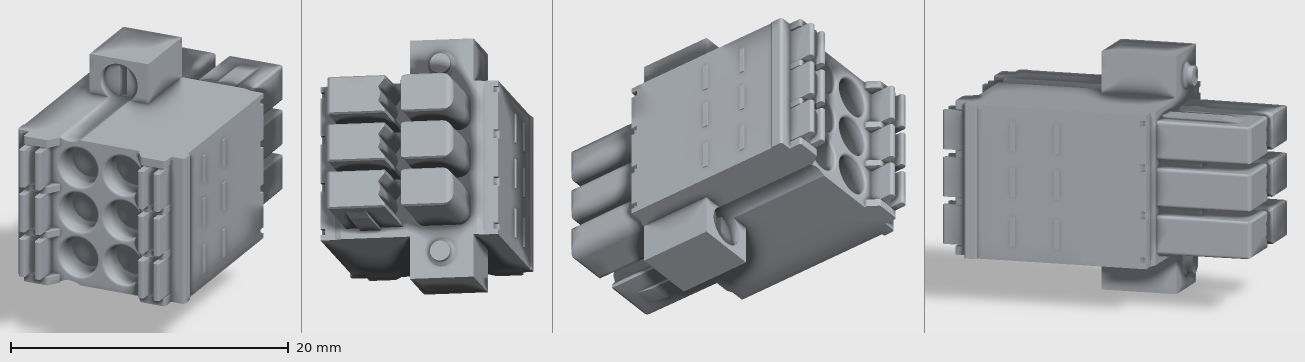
import cadquery as cq
import math


BODY_HALF_WIDTH = 6.5
BODY_HEIGHT = 11.3
BACK_FACE_Y = 13.93
SHOULDER_Y = 13.72
SHOULDER_OUTER_X = 5.45
SHOULDER_INNER_X = 4.95

FLANGE_LEFT_STEP = 0.1
FLANGE_RIGHT_STEP = 0.23
FLANGE_LENGTH = 0.96
FLANGE_ROUNDING = 0.23
FLANGE_STEP_BEVEL = 0.07

POLE_SPAN_Z = 6.95
POLE_PITCH_Z = POLE_SPAN_Z / 2
POLE_LEVELS = (-POLE_PITCH_Z, 0, POLE_PITCH_Z)
HALF_LEVELS = (-POLE_PITCH_Z / 2, POLE_PITCH_Z / 2)

HOLE_PITCH_X = 3.55
HOLE_MID_X = 0.02
HOLE_DIA = 3.0
HOLE_LIP_RADIUS = 0.2
HOLE_STRAIGHT_DEPTH = 1.65
HOLE_DEPTH = 2.07
HOLE_FLOOR_DIA = 2.9

RIDGE_LEVELS = (-3.5, 0.14, 3.49)
RIDGE_LENGTH = 2.13
RIDGE_WIDTH = 0.4
RIDGE_HEIGHT = FLANGE_LEFT_STEP
RIDGE_YS = (3.65, 6.98)

NOTCH_END_Y = 13.22
NOTCH_DEPTH = 0.35
NOTCH_END_BEVEL = 0.18
END_NOTCH_HEIGHT = 0.44
END_NOTCH_LEVEL = 5.03
MID_NOTCH_HEIGHT = 0.62

PLATE_OUTER_X = 5.65
PLATE_INNER_X = 3.17
PLATE_FRONT_INNER_X = 3.72
PLATE_LENGTH = 1.0
PLATE_STRAIGHT = 0.18
PLATE_ROUNDING = 0.18
END_PLATE_THICKNESS = 0.6
MID_PLATE_THICKNESS = 0.48

FORK_MID_X = 4.73
FORK_HEIGHT = 2.87
FORK_TIP_Y = -1.95
FORK_HALF_WIDTH = 0.87
FORK_HALF_GAP = 0.37
PRONG_TIP_ROUNDING = 0.2

LUG_MID_X = -2.4
LUG_WIDTH = 4.65
LUG_LENGTH = 5.67
OVERALL_HEIGHT = 17.5
LUG_OUTER_Z = OVERALL_HEIGHT / 2
SCREW_Z = 6.88
SCREW_CHANNEL_RADIUS = 1.5
SCREW_HEAD_RADIUS = 1.42
SCREW_HEAD_RECESS = 0.69
HEAD_GAP_DEPTH = 0.35
SCREW_SLOT_WIDTH = 0.62
SCREW_SLOT_DEPTH = 0.69
SCREW_TIP_RADIUS = 0.73
SCREW_TIP_LENGTH = 0.67
SCREW_CONE_RADIUS = 1.03
SCREW_CONE_LENGTH = 0.23

PIN_TIP_Y = 21.0
PIN_HALF_HEIGHT = 1.42
PIN_TAPER = 0.37
PIN_TIP_BEVEL = 0.2
PIN_TIP_BEVEL_HEIGHT = 0.11
PIN_LENGTH = PIN_TIP_Y - BACK_FACE_Y
PIN_TIP_HALF_HEIGHT = PIN_HALF_HEIGHT - PIN_LENGTH * math.tan(math.radians(PIN_TAPER))

ROUND_PIN_LEFT_X = -4.55
ROUND_PIN_RIGHT_X = -0.57
ROUND_PIN_LEFT_RADIUS = 0.9
ROUND_PIN_RIGHT_RADIUS = 0.6
ROUND_PIN_TIP_RADIUS = 0.6
ROUND_PIN_RIGHT_BEVEL = 0.18
ROUND_PIN_RIGHT_BEVEL_LENGTH = 0.69

KEYED_PIN_LEFT_X = 0.44
KEYED_PIN_RIGHT_X = 4.73
KEYED_PIN_RADIUS = 0.23
KEYED_PIN_TIP_RADIUS = 0.25
KEYED_PIN_TIP_BEVEL = 0.25
WAIST_EDGE_Z = 1.17
WAIST_Z = 0.5
WAIST_DEPTH = 0.5
WAIST_RIB_Z = 0.14
WAIST_RIB_DEPTH = 0.37

LATCH_MID_X = 2.78
LATCH_WIDTH = 1.47
LATCH_OUTER_Z = 5.1
LATCH_RAMP_START_Y = 18.43
LATCH_RAMP_END_Y = 19.87
WEB_END_Y = 16.95
WEB_ROUNDING = 0.23


def box(x0, x1, y0, y1, z0, z1):
    return cq.Workplane("XY").box(x1 - x0, y1 - y0, z1 - z0, centered=False).translate((x0, y0, z0))


def plate_from_plan(plan, thickness, z_mid=0):
    """Extrude a closed XY outline symmetrically about the level z_mid."""
    return plan.extrude(thickness / 2, both=True).translate((0, 0, z_mid))


def cylinder_along_y(radius, x, z, y0, y1):
    rod = cq.Workplane("XZ", origin=(x, y0, z)).circle(radius)
    return rod.extrude(y0 - y1)


def cone_along_y(radius0, radius1, x, z, y0, y1):
    return cq.Workplane(
        cq.Solid.makeCone(radius0, radius1, y1 - y0, pnt=cq.Vector(x, y0, z), dir=cq.Vector(0, 1, 0))
    )


def with_mirror(shape, plane):
    return shape.union(shape.mirror(plane))


def make_body():
    plan = (
        cq.Workplane("XY")
        .moveTo(-BODY_HALF_WIDTH, 0)
        .lineTo(-BODY_HALF_WIDTH, SHOULDER_Y)
        .lineTo(-SHOULDER_OUTER_X, SHOULDER_Y)
        .lineTo(-SHOULDER_INNER_X, BACK_FACE_Y)
        .lineTo(SHOULDER_INNER_X, BACK_FACE_Y)
        .lineTo(SHOULDER_OUTER_X, SHOULDER_Y)
        .lineTo(BODY_HALF_WIDTH, SHOULDER_Y)
        .lineTo(BODY_HALF_WIDTH, 0)
        .close()
    )
    flange_left = -BODY_HALF_WIDTH - FLANGE_LEFT_STEP
    flange_right = BODY_HALF_WIDTH + FLANGE_RIGHT_STEP
    half_height = BODY_HEIGHT / 2
    flange = (
        box(flange_left, flange_right, 0, FLANGE_LENGTH, -half_height, half_height)
        .edges("|Z and >Y")
        .chamfer(FLANGE_STEP_BEVEL)
    )
    body = plate_from_plan(plan, BODY_HEIGHT).union(flange)
    return body.edges("|Z and <Y").fillet(FLANGE_ROUNDING)


def add_side_ridges(part):
    reach = BODY_HALF_WIDTH + RIDGE_HEIGHT
    for y in RIDGE_YS:
        for z in RIDGE_LEVELS:
            part = part.union(
                cq.Workplane("XY").box(2 * reach, RIDGE_WIDTH, RIDGE_LENGTH).translate((0, y, z))
            )
    return part


def cut_rear_notches(part):
    notches = [(z, MID_NOTCH_HEIGHT) for z in HALF_LEVELS]
    notches += [(z, END_NOTCH_HEIGHT) for z in (-END_NOTCH_LEVEL, END_NOTCH_LEVEL)]
    for z, height in notches:
        notch = box(
            -BODY_HALF_WIDTH, NOTCH_DEPTH - BODY_HALF_WIDTH,
            NOTCH_END_Y, BACK_FACE_Y, z - height / 2, z + height / 2,
        )
        notch = notch.edges("|Z and <Y and >X").chamfer(NOTCH_END_BEVEL)
        part = part.cut(with_mirror(notch, "YZ"))
    return part


def wire_hole():
    """A blind hole with a rounded lip and a conical seat above its floor, on the Y axis."""
    radius = HOLE_DIA / 2
    arc_offset = HOLE_LIP_RADIUS * (1 - math.sqrt(0.5))
    profile = (
        cq.Workplane("XY")
        .lineTo(radius + HOLE_LIP_RADIUS, 0)
        .threePointArc((radius + arc_offset, arc_offset), (radius, HOLE_LIP_RADIUS))
        .lineTo(radius, HOLE_STRAIGHT_DEPTH)
        .lineTo(HOLE_FLOOR_DIA / 2, HOLE_DEPTH)
        .lineTo(0, HOLE_DEPTH)
        .close()
    )
    return profile.revolve(360, (0, 0, 0), (0, 1, 0))


def cut_wire_holes(part):
    for x in (HOLE_MID_X - HOLE_PITCH_X / 2, HOLE_MID_X + HOLE_PITCH_X / 2):
        for z in POLE_LEVELS:
            part = part.cut(wire_hole().translate((x, 0, z)))
    return part


def guard_plate(thickness, z_mid):
    """One right-hand guard plate with a slanted inner side."""
    plan = (
        cq.Workplane("XY")
        .moveTo(PLATE_INNER_X, 0)
        .lineTo(PLATE_INNER_X, -PLATE_STRAIGHT)
        .lineTo(PLATE_FRONT_INNER_X, -PLATE_LENGTH)
        .lineTo(PLATE_OUTER_X, -PLATE_LENGTH)
        .lineTo(PLATE_OUTER_X, 0)
        .close()
    )
    return plate_from_plan(plan, thickness, z_mid).edges("|Z and <Y").fillet(PLATE_ROUNDING)


def add_guard_plates(part):
    end_z = (BODY_HEIGHT - END_PLATE_THICKNESS) / 2
    plates = [(z, END_PLATE_THICKNESS) for z in (-end_z, end_z)]
    plates += [(z, MID_PLATE_THICKNESS) for z in HALF_LEVELS]
    for z, thickness in plates:
        part = part.union(with_mirror(guard_plate(thickness, z), "YZ"))
    return part


def release_fork(z_mid):
    """One right-hand two-pronged fork with a round-bottomed gap."""
    plan = (
        cq.Workplane("XY")
        .moveTo(-FORK_HALF_WIDTH, 0)
        .lineTo(-FORK_HALF_WIDTH, FORK_TIP_Y)
        .lineTo(-FORK_HALF_GAP, FORK_TIP_Y)
        .lineTo(-FORK_HALF_GAP, -PLATE_LENGTH)
        .threePointArc((0, FORK_HALF_GAP - PLATE_LENGTH), (FORK_HALF_GAP, -PLATE_LENGTH))
        .lineTo(FORK_HALF_GAP, FORK_TIP_Y)
        .lineTo(FORK_HALF_WIDTH, FORK_TIP_Y)
        .lineTo(FORK_HALF_WIDTH, 0)
        .close()
    )
    fork = plate_from_plan(plan, FORK_HEIGHT, z_mid).edges("|Z and <Y").fillet(PRONG_TIP_ROUNDING)
    return fork.translate((FORK_MID_X, 0, 0))


def add_release_forks(part):
    for z in POLE_LEVELS:
        part = part.union(with_mirror(release_fork(z), "YZ"))
    return part


def add_screw_lugs(part):
    left_x = LUG_MID_X - LUG_WIDTH / 2
    front_y = BACK_FACE_Y - LUG_LENGTH
    head_y = front_y + SCREW_HEAD_RECESS
    gap_y = head_y + HEAD_GAP_DEPTH
    cone_y = BACK_FACE_Y + SCREW_CONE_LENGTH

    lug = box(left_x, left_x + LUG_WIDTH, front_y, BACK_FACE_Y, 0, LUG_OUTER_Z)
    screw_end = cone_along_y(
        SCREW_CONE_RADIUS, SCREW_TIP_RADIUS, LUG_MID_X, SCREW_Z, BACK_FACE_Y, cone_y
    ).union(
        cylinder_along_y(SCREW_TIP_RADIUS, LUG_MID_X, SCREW_Z, BACK_FACE_Y, BACK_FACE_Y + SCREW_TIP_LENGTH)
    )
    channel = cylinder_along_y(SCREW_CHANNEL_RADIUS, LUG_MID_X, SCREW_Z, 0, gap_y)
    head = cylinder_along_y(SCREW_HEAD_RADIUS, LUG_MID_X, SCREW_Z, head_y, gap_y)
    half_slot = SCREW_SLOT_WIDTH / 2
    slot = box(
        LUG_MID_X - half_slot, LUG_MID_X + half_slot, head_y, head_y + SCREW_SLOT_DEPTH,
        SCREW_Z - SCREW_HEAD_RADIUS, SCREW_Z + SCREW_HEAD_RADIUS,
    )
    part = part.union(with_mirror(lug.union(screw_end), "XY"))
    part = part.cut(with_mirror(channel, "XY"))
    part = part.union(with_mirror(head, "XY"))
    return part.cut(with_mirror(slot, "XY"))


def trim_pin_tip(pin, left_x, right_x, left_radius, right_bevel):
    """Round the tip's left edge and bevel the others; right_bevel is a (width, length) pair."""
    arc_offset = left_radius * (1 - math.sqrt(0.5))
    plan = (
        cq.Workplane("XY")
        .moveTo(left_x, BACK_FACE_Y)
        .lineTo(left_x, PIN_TIP_Y - left_radius)
        .threePointArc((left_x + arc_offset, PIN_TIP_Y - arc_offset), (left_x + left_radius, PIN_TIP_Y))
        .lineTo(right_x - right_bevel[0], PIN_TIP_Y)
        .lineTo(right_x, PIN_TIP_Y - right_bevel[1])
        .lineTo(right_x, BACK_FACE_Y)
        .close()
    )
    tip_z = PIN_TIP_HALF_HEIGHT - PIN_TIP_BEVEL_HEIGHT
    side = (
        cq.Workplane("YZ", origin=(left_x, 0, 0))
        .moveTo(BACK_FACE_Y, -PIN_HALF_HEIGHT)
        .lineTo(PIN_TIP_Y - PIN_TIP_BEVEL, -PIN_TIP_HALF_HEIGHT)
        .lineTo(PIN_TIP_Y, -tip_z)
        .lineTo(PIN_TIP_Y, tip_z)
        .lineTo(PIN_TIP_Y - PIN_TIP_BEVEL, PIN_TIP_HALF_HEIGHT)
        .lineTo(BACK_FACE_Y, PIN_HALF_HEIGHT)
        .close()
        .extrude(right_x - left_x)
    )
    return pin.intersect(plate_from_plan(plan, 2 * PIN_HALF_HEIGHT)).intersect(side)


def tapered_pin(section, left_x, right_x):
    """Extrude a pin section, narrowing slightly from the back face to the tip."""
    blank = cq.Workplane("ZX", origin=((left_x + right_x) / 2, BACK_FACE_Y, 0))
    return blank.placeSketch(section).extrude(PIN_LENGTH, taper=PIN_TAPER)


def round_pin():
    section = (
        cq.Sketch()
        .rect(2 * PIN_HALF_HEIGHT, ROUND_PIN_RIGHT_X - ROUND_PIN_LEFT_X)
        .vertices("<Y")
        .fillet(ROUND_PIN_LEFT_RADIUS)
        .reset()
        .vertices(">Y")
        .fillet(ROUND_PIN_RIGHT_RADIUS)
    )
    pin = tapered_pin(section, ROUND_PIN_LEFT_X, ROUND_PIN_RIGHT_X)
    right_bevel = (ROUND_PIN_RIGHT_BEVEL, ROUND_PIN_RIGHT_BEVEL_LENGTH)
    return trim_pin_tip(pin, ROUND_PIN_LEFT_X, ROUND_PIN_RIGHT_X, ROUND_PIN_TIP_RADIUS, right_bevel)


def keyed_pin():
    """A pin with square left corners and a waisted left side that carries a low rib."""
    section = (
        cq.Sketch()
        .rect(2 * PIN_HALF_HEIGHT, KEYED_PIN_RIGHT_X - KEYED_PIN_LEFT_X)
        .vertices(">Y")
        .fillet(KEYED_PIN_RADIUS)
    )
    pin = tapered_pin(section, KEYED_PIN_LEFT_X, KEYED_PIN_RIGHT_X)
    waist_x = KEYED_PIN_LEFT_X + WAIST_DEPTH
    rib_x = KEYED_PIN_LEFT_X + WAIST_RIB_DEPTH
    waist = (
        cq.Workplane("XZ", origin=(0, BACK_FACE_Y, 0))
        .moveTo(KEYED_PIN_LEFT_X, -WAIST_EDGE_Z)
        .lineTo(waist_x, -WAIST_Z)
        .lineTo(rib_x, -WAIST_RIB_Z)
        .lineTo(rib_x, WAIST_RIB_Z)
        .lineTo(waist_x, WAIST_Z)
        .lineTo(KEYED_PIN_LEFT_X, WAIST_EDGE_Z)
        .close()
        .extrude(-PIN_LENGTH)
    )
    right_bevel = (KEYED_PIN_TIP_BEVEL, KEYED_PIN_TIP_BEVEL)
    pin = trim_pin_tip(pin, KEYED_PIN_LEFT_X, KEYED_PIN_RIGHT_X, KEYED_PIN_TIP_RADIUS, right_bevel)
    return pin.cut(waist)


def add_mating_pins(part):
    for pin in (round_pin(), keyed_pin()):
        for z in POLE_LEVELS:
            part = part.union(pin.translate((0, 0, z)))
    return part


def add_latch_ribs_and_webs(part):
    left_x = LATCH_MID_X - LATCH_WIDTH / 2
    root_z = POLE_PITCH_Z
    ramp_end_z = POLE_PITCH_Z + PIN_TIP_HALF_HEIGHT
    latch = (
        cq.Workplane("YZ", origin=(left_x, 0, 0))
        .moveTo(BACK_FACE_Y, root_z)
        .lineTo(LATCH_RAMP_END_Y, root_z)
        .lineTo(LATCH_RAMP_END_Y, ramp_end_z)
        .lineTo(LATCH_RAMP_START_Y, LATCH_OUTER_Z)
        .lineTo(BACK_FACE_Y, LATCH_OUTER_Z)
        .close()
        .extrude(LATCH_WIDTH)
    )
    part = part.union(with_mirror(latch, "XY"))
    web = box(left_x, left_x + LATCH_WIDTH, BACK_FACE_Y, WEB_END_Y, -POLE_PITCH_Z, POLE_PITCH_Z)
    return part.union(web.edges("|Z and >Y and <X").fillet(WEB_ROUNDING))


connector = make_body()
connector = add_side_ridges(connector)
connector = cut_rear_notches(connector)
connector = cut_wire_holes(connector)
connector = add_guard_plates(connector)
connector = add_release_forks(connector)
connector = add_screw_lugs(connector)
connector = add_mating_pins(connector)
result = add_latch_ribs_and_webs(connector)